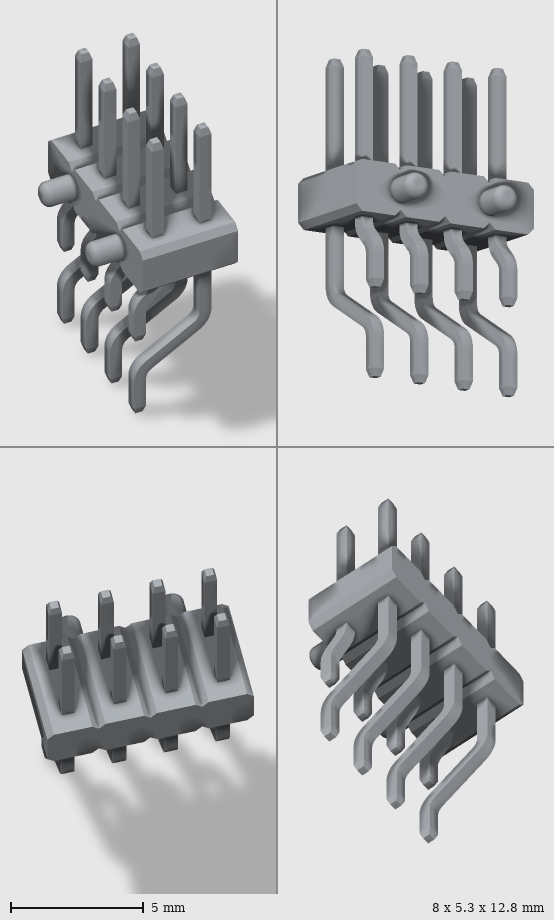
import cadquery as cq
import math

PITCH = 2.0
COLUMNS = 4
ROWS = 2
HOUSING_LENGTH = 8.0
HOUSING_DEPTH = ROWS * PITCH
HOUSING_HEIGHT = PITCH
BLOCK_CHAMFER = 0.25

PEG_DIAMETER = 1.0
PEG_LENGTH = 1.3
PEG_ROUNDING = 0.3
PEG_SPACING = 2 * PITCH

PIN_WIDTH = 0.5
TIP_LENGTH = 0.3
TIP_WIDTH = 0.3
FRONT_PIN_RISE = 3.47
PIN_TOP_HEIGHT = 4.48
BEND_RADIUS = 1.5 * PIN_WIDTH

OVERALL_HEIGHT = 12.75
PIN_TOP = HOUSING_HEIGHT / 2 + PIN_TOP_HEIGHT
BACK_PIN_BOTTOM = PIN_TOP - OVERALL_HEIGHT
FRONT_PIN_BOTTOM = BACK_PIN_BOTTOM + FRONT_PIN_RISE
BACK_BEND_ANGLE = 60.0
FRONT_BEND_ANGLE = 45.0
BACK_FOOT_LENGTH = 1.58
FRONT_FOOT_LENGTH = 1.33

FOOT_Y = -HOUSING_DEPTH / 2 + PIN_WIDTH / 2
BACK_ROW_Y = PITCH / 2
FRONT_ROW_Y = -PITCH / 2
COLUMN_XS = [(column - (COLUMNS - 1) / 2) * PITCH for column in range(COLUMNS)]


def make_block_row():
    """Bevelled blocks side by side, which leave V grooves between them."""
    block_length = HOUSING_LENGTH / COLUMNS
    row = cq.Workplane("XY")
    for column in range(COLUMNS):
        block_x = (column - (COLUMNS - 1) / 2) * block_length
        block = (
            cq.Workplane("XY")
            .box(block_length, HOUSING_DEPTH, HOUSING_HEIGHT)
            .edges("|Y")
            .chamfer(BLOCK_CHAMFER)
            .translate((block_x, 0, 0))
        )
        row = row.union(block)
    return row.clean()


def make_pegs():
    """Round pegs with a rounded end, standing out from the -Y face."""
    return (
        cq.Workplane("XZ", origin=(0, -HOUSING_DEPTH / 2, 0))
        .pushPoints([(-PEG_SPACING / 2, 0), (PEG_SPACING / 2, 0)])
        .circle(PEG_DIAMETER / 2)
        .extrude(PEG_LENGTH)
        .faces("<Y")
        .edges()
        .fillet(PEG_ROUNDING)
    )


def make_housing():
    """Block row with pegs and a square through hole for every pin."""
    hole_centres = [(x, y) for x in COLUMN_XS for y in (FRONT_ROW_Y, BACK_ROW_Y)]
    pin_holes = (
        cq.Workplane("XY")
        .pushPoints(hole_centres)
        .rect(PIN_WIDTH, PIN_WIDTH)
        .extrude(HOUSING_HEIGHT / 2, both=True)
    )
    return make_block_row().union(make_pegs()).cut(pin_holes)


def make_tip(y, z, direction):
    """Tapered pin end with its base at height z, pointing up (+1) or down (-1)."""
    return (
        cq.Workplane("XY", origin=(0, y, z))
        .rect(PIN_WIDTH, PIN_WIDTH)
        .workplane(offset=direction * TIP_LENGTH)
        .rect(TIP_WIDTH, TIP_WIDTH)
        .loft()
    )


def make_pin(row_y, bottom, foot_length, bend_angle):
    """Pin of one row at X = 0: straight, bent towards -Y, then straight down again."""
    angle = math.radians(bend_angle)
    bend_y = BEND_RADIUS * (1 - math.cos(angle))
    bend_z = BEND_RADIUS * math.sin(angle)
    half_bend_y = BEND_RADIUS * (1 - math.cos(angle / 2))
    half_bend_z = BEND_RADIUS * math.sin(angle / 2)
    slope_y = row_y - FOOT_Y - 2 * bend_y
    slope_z = slope_y / math.tan(angle)

    lower_bend_end = bottom + foot_length
    upper_bend_start = lower_bend_end + 2 * bend_z + slope_z
    top_tip_base = PIN_TOP - TIP_LENGTH
    bottom_tip_base = bottom + TIP_LENGTH

    centre_line = (
        cq.Workplane("YZ")
        .moveTo(row_y, top_tip_base)
        .lineTo(row_y, upper_bend_start)
        .threePointArc(
            (row_y - half_bend_y, upper_bend_start - half_bend_z),
            (row_y - bend_y, upper_bend_start - bend_z),
        )
        .lineTo(FOOT_Y + bend_y, lower_bend_end + bend_z)
        .threePointArc(
            (FOOT_Y + half_bend_y, lower_bend_end + half_bend_z),
            (FOOT_Y, lower_bend_end),
        )
        .lineTo(FOOT_Y, bottom_tip_base)
    )
    wire = (
        cq.Workplane("XY", origin=(0, row_y, top_tip_base))
        .rect(PIN_WIDTH, PIN_WIDTH)
        .sweep(centre_line)
    )
    return wire.union(make_tip(row_y, top_tip_base, 1)).union(make_tip(FOOT_Y, bottom_tip_base, -1))


def make_back_pin(x):
    pin = make_pin(BACK_ROW_Y, BACK_PIN_BOTTOM, BACK_FOOT_LENGTH, BACK_BEND_ANGLE)
    return pin.translate((x, 0, 0))


def make_front_pin(x):
    pin = make_pin(FRONT_ROW_Y, FRONT_PIN_BOTTOM, FRONT_FOOT_LENGTH, FRONT_BEND_ANGLE)
    return pin.translate((x, 0, 0))


housing = make_housing()
back_pins = [make_back_pin(x).val() for x in COLUMN_XS]
front_pins = [make_front_pin(x).val() for x in COLUMN_XS]

result = cq.Compound.makeCompound([housing.val(), *back_pins, *front_pins])